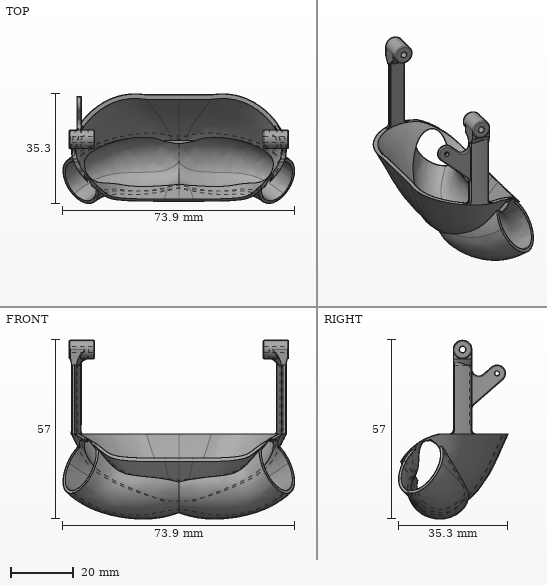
import cadquery as cq
import math


BASIN_LEVELS = [
    dict(z=0.0, back=(10.35, 14.3), shoulder=(25.9, 10.6),
         side=(34.2, -4.4), corner=(28.3, -18.3), front=(5.2, -25.5)),
    dict(z=-8.9, back=(7.4, 10.35), shoulder=(22.2, 5.55),
         side=(29.6, -6.65), corner=(23.65, -14.4), front=(4.4, -19.7)),
    dict(z=-16.25, back=(4.4, 6.1), shoulder=(17.0, 2.2),
         side=(23.65, -6.65), corner=(17.75, -11.8), front=(2.95, -14.8)),
    dict(z=-21.4, back=(2.2, 1.1), shoulder=(10.35, -1.5),
         side=(14.8, -5.9), corner=(10.35, -9.6), front=(2.95, -11.1)),
]
RIM_WIDTH = 1.5
BACK_BULGE_SLOPE = 0.15

LIP_START = (-7.4, 0.0)
LIP_MIDDLE = (-15.2, -3.7)
LIP_END = (-19.7, -8.9)

DUCT_WALL = 1.0
MIDDLE = dict(centre=(0, -7.0, -16.55), radii=(8.6, 8.5),
              normal=(1, 0, 0), down=(0, 0, -1))
LOBE = dict(centre=(16.6, -8.1, -17.5), radii=(9.3, 9.4),
            normal=(1, 0, 0), down=(0, 0, -1))
BEND = dict(centre=(24.4, -9.6, -14.9), radii=(9.75, 8.3),
            normal=(0.9, -0.32, 0.29), down=(0.1, -0.3, -0.95))
MOUTH = dict(centre=(31.3, -13.3, -10.35), radii=(9.8, 7.75),
             normal=(0.71, -0.53, 0.47), down=(0.23, -0.45, -0.86))
MOUTH_OVERCUT = 2.2

ARM_WIDTH = 5.9
HEAD_RADIUS = ARM_WIDTH / 2
HEAD_Z = 26.9
HEAD_OUTER_X = 34.95
HEAD_LENGTH = 8.05
HEAD_EDGE = 0.4
PIVOT_HOLE = 2.0
ARM_EDGE = 0.4
FLARE = 1.3
GUSSET_BASE_Z = 21.8

BRACKET_X = -32.5
BRACKET_THICKNESS = 1.5
BRACKET_EYE = (11.0, 19.3)
BRACKET_RADIUS = 2.65
BRACKET_HOLE = 1.5
BRACKET_ANGLE = 41.0
BRACKET_FILLET = 2.2
BRACKET_EDGE = 0.3


def basin_outline(level, inset):
    """Right half of the outline at one level: flat back and front joined by a rounded side."""
    back_x, back_y = level["back"]
    shoulder_x, shoulder_y = level["shoulder"]
    side_x, side_y = level["side"]
    corner_x, corner_y = level["corner"]
    front_x, front_y = level["front"]
    back_y -= inset
    shoulder_x -= inset * math.sqrt(0.5)
    shoulder_y -= inset * math.sqrt(0.5)
    corner_x -= inset * math.sqrt(0.5)
    corner_y += inset * math.sqrt(0.5)
    side_x -= inset
    front_y += inset
    return (
        cq.Workplane("XY", origin=(0, 0, level["z"]))
        .moveTo(0, back_y)
        .lineTo(back_x, back_y)
        .spline([(shoulder_x, shoulder_y), (side_x, side_y), (corner_x, corner_y), (front_x, front_y)],
                tangents=[(1, BACK_BULGE_SLOPE), None, None, None, (-1, 0)], includeCurrent=True)
        .lineTo(0, front_y)
        .close()
    )


def with_mirror(right_half):
    return right_half.union(right_half.mirror("YZ"))


def basin(inset):
    wires = [basin_outline(level, inset).val() for level in BASIN_LEVELS]
    return with_mirror(cq.Workplane(cq.Solid.makeLoft(wires)))


def duct_section(section, inset, reach=0.0):
    """Elliptical wire of the right half, pushed by reach along its normal."""
    centre = [c + reach * n for c, n in zip(section["centre"], section["normal"])]
    radius_down, radius_across = [radius - inset for radius in section["radii"]]
    edge = cq.Edge.makeEllipse(
        radius_down,
        radius_across,
        cq.Vector(*centre),
        cq.Vector(*section["normal"]),
        cq.Vector(*section["down"]),
    )
    return cq.Wire.assembleEdges([edge])


def duct(inset, overcut):
    """Tube through both mouths, its ends pushed outwards by overcut."""
    wires = [duct_section(section, inset) for section in (MIDDLE, LOBE, BEND, MOUTH)]
    if overcut:
        wires.append(duct_section(MOUTH, inset, overcut))
    return with_mirror(cq.Workplane(cq.Solid.makeLoft(wires)))


def lip_cutter():
    """Everything above the drooping front lip."""
    reach = 3 * HEAD_OUTER_X
    slope_y = LIP_END[0] - 11.1
    slope_z = LIP_END[1] - 11.1
    return (
        cq.Workplane("YZ", origin=(-reach / 2, 0, 0))
        .moveTo(*LIP_START)
        .threePointArc(LIP_MIDDLE, LIP_END)
        .lineTo(slope_y, slope_z)
        .lineTo(slope_y, 7.4)
        .lineTo(LIP_START[0], 7.4)
        .close()
        .extrude(reach)
    )


def shell():
    outside = basin(0).cut(lip_cutter()).union(duct(0, 0))
    return outside.cut(basin(RIM_WIDTH)).cut(duct(DUCT_WALL, MOUTH_OVERCUT))


def arm_stem():
    """Rim band raised up to the head, its sides flaring out where they meet the rim."""
    band_height = HEAD_Z - HEAD_RADIUS
    band = basin_outline(BASIN_LEVELS[0], 0).extrude(band_height)
    band = band.cut(basin_outline(BASIN_LEVELS[0], RIM_WIDTH).extrude(band_height))
    half = ARM_WIDTH / 2
    sag = FLARE * (1 - math.sqrt(0.5))
    stem = (
        cq.Workplane("YZ")
        .moveTo(half + FLARE, 0)
        .threePointArc((half + sag, sag), (half, FLARE))
        .lineTo(half, band_height)
        .lineTo(-half, band_height)
        .lineTo(-half, FLARE)
        .threePointArc((-half - sag, sag), (-half - FLARE, 0))
        .close()
        .extrude(HEAD_OUTER_X)
    )
    stem = stem.intersect(band)
    straight_edges = stem.edges(cq.selectors.BoxSelector(
        (0, -half - 0.1, FLARE + 0.75), (HEAD_OUTER_X, half + 0.1, band_height - 0.75)))
    return straight_edges.chamfer(ARM_EDGE)


def gusset_wire(y, base_outer_x, base_inner_x, top_inner_x, shoulder_z, arc_middle):
    return (
        cq.Workplane("XZ", origin=(0, y, 0))
        .moveTo(base_inner_x, GUSSET_BASE_Z)
        .lineTo(base_outer_x, GUSSET_BASE_Z)
        .lineTo(HEAD_OUTER_X - HEAD_EDGE, HEAD_Z - HEAD_RADIUS)
        .lineTo(HEAD_OUTER_X - HEAD_EDGE, HEAD_Z)
        .lineTo(top_inner_x, HEAD_Z)
        .lineTo(top_inner_x, shoulder_z)
        .threePointArc(arc_middle, (base_inner_x, GUSSET_BASE_Z))
        .close()
        .val()
    )


def gusset():
    """Hull from the arm to the head; its inner corner is filled more deeply on the back edge."""
    front = gusset_wire(-ARM_WIDTH / 2, 34.1, 32.7, 30.0, HEAD_Z - 0.3, (31.8, 24.55))
    back = gusset_wire(ARM_WIDTH / 2, 33.05, 31.5, 28.8, HEAD_Z - HEAD_RADIUS, (30.5, 23.3))
    return cq.Workplane(cq.Solid.makeLoft([front, back], True))


def head():
    barrel = (
        cq.Workplane("YZ", origin=(HEAD_OUTER_X, 0, 0))
        .center(0, HEAD_Z)
        .circle(HEAD_RADIUS)
        .extrude(-HEAD_LENGTH)
    )
    return barrel.edges().fillet(HEAD_EDGE)


def pivot_bore():
    return (
        cq.Workplane("YZ", origin=(HEAD_OUTER_X, 0, 0))
        .center(0, HEAD_Z)
        .circle(PIVOT_HOLE / 2)
        .extrude(-HEAD_LENGTH)
    )


def arm():
    return arm_stem().union(gusset()).union(head()).cut(pivot_bore())


def bracket():
    """Flat eye held by a slanting strip, with filleted corners at the arm."""
    eye_y, eye_z = BRACKET_EYE
    plane = cq.Workplane("YZ", origin=(BRACKET_X, 0, 0))
    root_y = ARM_WIDTH / 2
    strip_length = 2 * (eye_y - root_y)
    strip = (
        plane.center(eye_y, eye_z)
        .transformed(rotate=(0, 0, 180 + BRACKET_ANGLE))
        .center(strip_length / 2, 0)
        .rect(strip_length, 2 * BRACKET_RADIUS)
        .extrude(BRACKET_THICKNESS)
    )
    behind_arm = (
        plane.center(root_y - ARM_WIDTH, HEAD_Z / 2)
        .rect(2 * ARM_WIDTH, HEAD_Z)
        .extrude(BRACKET_THICKNESS)
    )
    root = (
        plane.center(root_y - BRACKET_THICKNESS / 4, HEAD_Z / 2)
        .rect(BRACKET_THICKNESS / 2, HEAD_Z - 4 * HEAD_RADIUS / 2)
        .extrude(BRACKET_THICKNESS)
    )
    plate = strip.cut(behind_arm).union(root)
    corner_zone = cq.selectors.BoxSelector(
        (BRACKET_X - 0.75, root_y - 0.1, HEAD_RADIUS * 2),
        (BRACKET_X + BRACKET_THICKNESS + 0.75, root_y + 0.1, HEAD_Z - HEAD_RADIUS - 0.75))
    plate = plate.edges("|X").edges(corner_zone).fillet(BRACKET_FILLET)
    eye = plane.center(eye_y, eye_z).circle(BRACKET_RADIUS).extrude(BRACKET_THICKNESS)
    hole = plane.center(eye_y, eye_z).circle(BRACKET_HOLE / 2).extrude(BRACKET_THICKNESS)
    plate = plate.union(eye)
    rounded_zone = cq.selectors.BoxSelector(
        (BRACKET_X - 0.75, root_y + 0.1, 0), (BRACKET_X + BRACKET_THICKNESS + 0.75, 2 * eye_y, HEAD_Z))
    plate = plate.faces("<X or >X").edges(rounded_zone).fillet(BRACKET_EDGE)
    return plate.cut(hole)


result = shell().union(with_mirror(arm())).union(bracket())